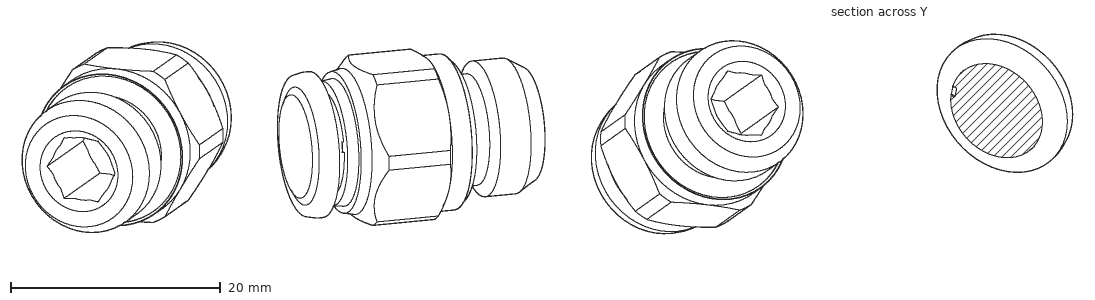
import cadquery as cq
import math

LENGTH = 23.3
COS_30 = math.cos(math.radians(30))
TAN_30 = math.tan(math.radians(30))
ARC_MID_INSET = 1 - math.sqrt(0.5)

STUD_RADIUS = 6.52
STUD_TIP_RADIUS = 5.5
UNDERCUT_RADIUS = 5.35
STUD_TIP_CHAMFER_END = 1.77
STUD_SHOULDER_Y = 4.85
UNDERCUT_START_Y = 5.55

HEX_FLATS = 15.0
FLANGE_RADIUS = HEX_FLATS / 2
FLANGE_START_Y = 8.05
SEAL_FRONT_Y = 7.22
SEAL_SECTION_RADIUS = 0.93
SEAL_CENTER_RADIUS = UNDERCUT_RADIUS + SEAL_SECTION_RADIUS
SEAL_CENTER_Y = SEAL_FRONT_Y + SEAL_SECTION_RADIUS
SEAL_SEAT_RADIUS = SEAL_CENTER_RADIUS + SEAL_SECTION_RADIUS
SEAL_RIM_WIDTH = 0.05
SEAL_SEAT_MOUTH_RADIUS = FLANGE_RADIUS - SEAL_RIM_WIDTH

HEX_CORNER_RADIUS = 8.3
HEX_START_Y = 10.05
HEX_CORNER_START_Y = HEX_START_Y + (HEX_CORNER_RADIUS - FLANGE_RADIUS) * TAN_30
BODY_TAPER_START_Y = 17.99
BODY_TAPER_BASE_RADIUS = 7.01
BODY_TOP_Y = 19.01
BODY_TOP_RADIUS = 6.8
HEX_CORNER_END_Y = BODY_TAPER_START_Y - (HEX_CORNER_RADIUS - BODY_TAPER_BASE_RADIUS)

RING_BASE_RADIUS = 6.13
RING_TOP_RADIUS = 5.96
RING_TOP_Y = 20.08

COLLET_NECK_RADIUS = 4.96
COLLET_NECK_FILLET = 0.47
COLLET_RADIUS = 7.01
COLLET_FLANGE_Y = 21.25
COLLET_TAPER_START_Y = 21.79
COLLET_RIM_RADIUS = 6.83
COLLET_RIM_FILLET = 0.16
COLLET_SHOULDER_Y = 22.85
COLLET_RAISED_RADIUS = 5.66
COLLET_TOP_RADIUS = 4.96

NOTCH_ANGLE = 11.3
NOTCH_WIDTH = 1.0
NOTCH_HEIGHT = 0.19
NOTCH_DEPTH = 0.47

SOCKET_FLATS = 6.0
SOCKET_DEPTH = HEX_START_Y
SOCKET_BORE_RADIUS = 3.1
SOCKET_MOUTH_RADIUS = 3.98
SOCKET_MOUTH_ANGLE = 45


def turned(outline):
    """Revolve a closed (radius, Y) outline about the Y axis."""
    return outline.close().revolve(360, (0, 0, 0), (0, 1, 0))


def hexagon(flats, start_y, end_y):
    """Hexagonal prism along Y with corners on the X axis."""
    plane = cq.Workplane("XZ", origin=(0, start_y, 0))
    return plane.polygon(6, flats / COS_30).extrude(start_y - end_y)


def stud_and_flange():
    seat_inner_y = FLANGE_START_Y + SEAL_SEAT_MOUTH_RADIUS - SEAL_SEAT_RADIUS
    outline = cq.Workplane("XY").polyline([
        (0, 0),
        (STUD_TIP_RADIUS, 0),
        (STUD_RADIUS, STUD_TIP_CHAMFER_END),
        (STUD_RADIUS, STUD_SHOULDER_Y),
        (UNDERCUT_RADIUS, UNDERCUT_START_Y),
        (UNDERCUT_RADIUS, SEAL_CENTER_Y),
    ])
    outline = (
        outline
        .threePointArc((SEAL_CENTER_RADIUS, SEAL_FRONT_Y), (SEAL_SEAT_RADIUS, SEAL_CENTER_Y))
        .lineTo(SEAL_SEAT_RADIUS, seat_inner_y)
        .lineTo(SEAL_SEAT_MOUTH_RADIUS, FLANGE_START_Y)
        .lineTo(FLANGE_RADIUS, FLANGE_START_Y)
        .lineTo(FLANGE_RADIUS, HEX_START_Y)
        .lineTo(0, HEX_START_Y)
    )
    return turned(outline)


def hex_body():
    """Hexagon with its corners rounded off and coned at both ends."""
    envelope = turned(cq.Workplane("XY").polyline([
        (0, HEX_START_Y),
        (FLANGE_RADIUS, HEX_START_Y),
        (HEX_CORNER_RADIUS, HEX_CORNER_START_Y),
        (HEX_CORNER_RADIUS, HEX_CORNER_END_Y),
        (BODY_TAPER_BASE_RADIUS, BODY_TAPER_START_Y),
        (BODY_TOP_RADIUS, BODY_TOP_Y),
        (0, BODY_TOP_Y),
    ]))
    return envelope.intersect(hexagon(HEX_FLATS, HEX_START_Y, BODY_TOP_Y))


def ring_and_collet():
    neck_mid = COLLET_NECK_FILLET * ARC_MID_INSET
    rim_mid = COLLET_RIM_FILLET * ARC_MID_INSET
    outline = (
        cq.Workplane("XY")
        .moveTo(0, BODY_TOP_Y)
        .lineTo(RING_BASE_RADIUS, BODY_TOP_Y)
        .lineTo(RING_TOP_RADIUS, RING_TOP_Y)
        .lineTo(COLLET_NECK_RADIUS, RING_TOP_Y)
        .lineTo(COLLET_NECK_RADIUS, COLLET_FLANGE_Y - COLLET_NECK_FILLET)
        .threePointArc(
            (COLLET_NECK_RADIUS + neck_mid, COLLET_FLANGE_Y - neck_mid),
            (COLLET_NECK_RADIUS + COLLET_NECK_FILLET, COLLET_FLANGE_Y),
        )
        .lineTo(COLLET_RADIUS, COLLET_FLANGE_Y)
        .lineTo(COLLET_RADIUS, COLLET_TAPER_START_Y)
        .lineTo(COLLET_RIM_RADIUS, COLLET_SHOULDER_Y - COLLET_RIM_FILLET)
        .threePointArc(
            (COLLET_RIM_RADIUS - rim_mid, COLLET_SHOULDER_Y - rim_mid),
            (COLLET_RIM_RADIUS - COLLET_RIM_FILLET, COLLET_SHOULDER_Y),
        )
        .lineTo(COLLET_RAISED_RADIUS, COLLET_SHOULDER_Y)
        .lineTo(COLLET_TOP_RADIUS, LENGTH)
        .lineTo(0, LENGTH)
    )
    return turned(outline)


def collet_notch():
    """Shallow notch in the -X side of the neck, turned slightly towards +Z."""
    notch = cq.Workplane("XY").box(2 * NOTCH_DEPTH, NOTCH_HEIGHT, NOTCH_WIDTH)
    notch = notch.translate((-COLLET_NECK_RADIUS, RING_TOP_Y + NOTCH_HEIGHT / 2, 0))
    return notch.rotate((0, 0, 0), (0, 1, 0), NOTCH_ANGLE)


def hex_socket():
    bore = cq.Workplane("XZ").circle(SOCKET_BORE_RADIUS).extrude(-SOCKET_DEPTH)
    cone_depth = SOCKET_MOUTH_RADIUS / math.tan(math.radians(SOCKET_MOUTH_ANGLE))
    countersink = turned(cq.Workplane("XY").polyline([
        (0, 0),
        (SOCKET_MOUTH_RADIUS, 0),
        (0, cone_depth),
    ]))
    return hexagon(SOCKET_FLATS, 0, SOCKET_DEPTH).union(bore).union(countersink)


fitting = stud_and_flange().union(hex_body()).union(ring_and_collet())
result = fitting.cut(collet_notch()).cut(hex_socket())